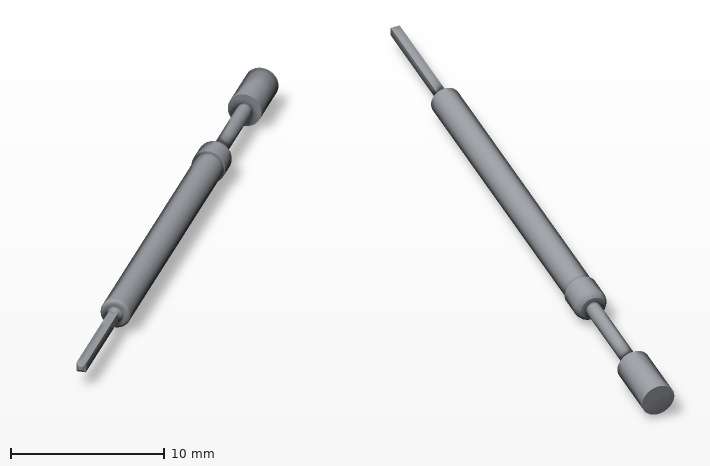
import cadquery as cq
import math

LENGTH = 42.5

HEAD_DIAMETER = 2.3
HEAD_LENGTH = 4.0
STEM_DIAMETER = 1.0

COLLAR_DIAMETER = HEAD_DIAMETER
COLLAR_TOP = 10.5
COLLAR_BOTTOM = 12.5
COLLAR_MOUTH_DIAMETER = 1.7
COLLAR_NOSE_RADIUS = 0.7

BARREL_DIAMETER = 2.05
BARREL_BOTTOM = 34.45
BARREL_ROUND = 0.25

TAIL_WIDTH = 0.65
TAIL_TIP_WIDTH = 0.2
TAIL_TIP_LENGTH = 0.15

NECK_TOP_DIAMETER = 1.1
NECK_BOTTOM_DIAMETER = TAIL_WIDTH
NECK_LENGTH = 0.35


def turned_body():
    """Head, stem, collar, barrel and neck, revolved about the Y axis."""
    top = LENGTH / 2
    collar_top = top - COLLAR_TOP
    barrel_bottom = top - BARREL_BOTTOM
    neck_bottom = barrel_bottom - NECK_LENGTH
    nose_step = (COLLAR_DIAMETER - COLLAR_MOUTH_DIAMETER) / 2
    nose_length = math.sqrt(COLLAR_NOSE_RADIUS**2 - (COLLAR_NOSE_RADIUS - nose_step) ** 2)
    profile = (
        cq.Workplane("XY")
        .moveTo(0, top)
        .lineTo(HEAD_DIAMETER / 2, top)
        .lineTo(HEAD_DIAMETER / 2, top - HEAD_LENGTH)
        .lineTo(STEM_DIAMETER / 2, top - HEAD_LENGTH)
        .lineTo(STEM_DIAMETER / 2, collar_top)
        .lineTo(COLLAR_MOUTH_DIAMETER / 2, collar_top)
        .radiusArc((COLLAR_DIAMETER / 2, collar_top - nose_length), COLLAR_NOSE_RADIUS)
        .lineTo(COLLAR_DIAMETER / 2, top - COLLAR_BOTTOM)
        .lineTo(BARREL_DIAMETER / 2, top - COLLAR_BOTTOM)
        .lineTo(BARREL_DIAMETER / 2, barrel_bottom + BARREL_ROUND)
        .radiusArc((BARREL_DIAMETER / 2 - BARREL_ROUND, barrel_bottom), BARREL_ROUND)
        .lineTo(NECK_TOP_DIAMETER / 2, barrel_bottom)
        .lineTo(NECK_BOTTOM_DIAMETER / 2, neck_bottom)
        .lineTo(0, neck_bottom)
        .close()
    )
    return profile.revolve(360, (0, 0, 0), (0, 1, 0))


def square_tail():
    """Square wire post that leaves the barrel through the neck and ends in a blunt pyramid."""
    tip_base = -LENGTH / 2 + TAIL_TIP_LENGTH
    post_length = LENGTH / 2 - BARREL_BOTTOM - tip_base
    post = (
        cq.Workplane("XZ", origin=(0, tip_base, 0))
        .rect(TAIL_WIDTH, TAIL_WIDTH)
        .extrude(-post_length)
    )
    tip = (
        cq.Workplane("XZ", origin=(0, tip_base, 0))
        .rect(TAIL_WIDTH, TAIL_WIDTH)
        .workplane(offset=TAIL_TIP_LENGTH)
        .rect(TAIL_TIP_WIDTH, TAIL_TIP_WIDTH)
        .loft()
    )
    return post.union(tip)


result = turned_body().union(square_tail())